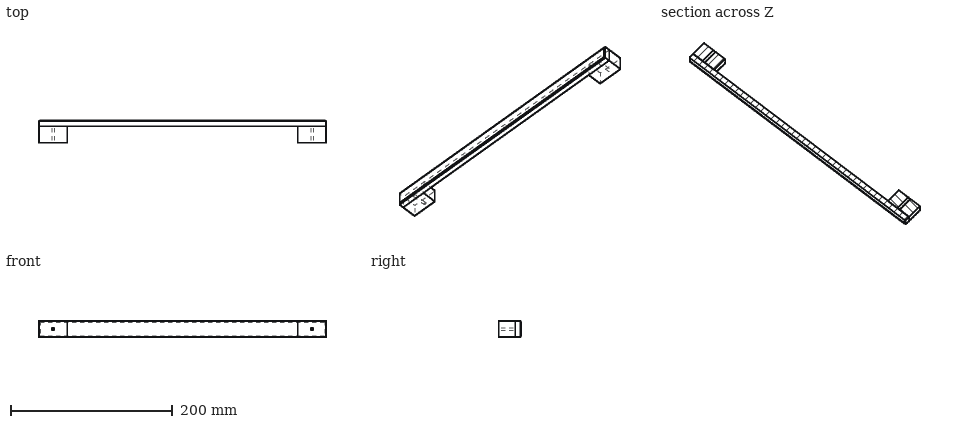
import cadquery as cq

length = 355.0
depth = 28.0
height = 20.0

bar_thickness = 7.8
bar_chamfer = 1.5

post_length = 35.0
post_depth = depth - bar_thickness
screw_hole_diameter = 3.2

post_offset = (length - post_length) / 2


def make_bar():
    """Flat bar with a chamfer around its back face."""
    bar = cq.Workplane("XY").box(length, bar_thickness, height, centered=(True, False, True))
    bar = bar.faces(">Y").chamfer(bar_chamfer)
    return bar.translate((0, post_depth, 0))


def make_post(center_x):
    """Block with a central screw hole running from front to back."""
    post = cq.Workplane("XY").box(post_length, post_depth, height, centered=(True, False, True))
    post = post.faces("<Y").workplane(centerOption="CenterOfBoundBox").hole(screw_hole_diameter)
    return post.translate((center_x, 0, 0))


bar = make_bar()
posts = [make_post(side * post_offset) for side in (-1, 1)]

result = cq.Compound.makeCompound([bar.val(), *[post.val() for post in posts]])